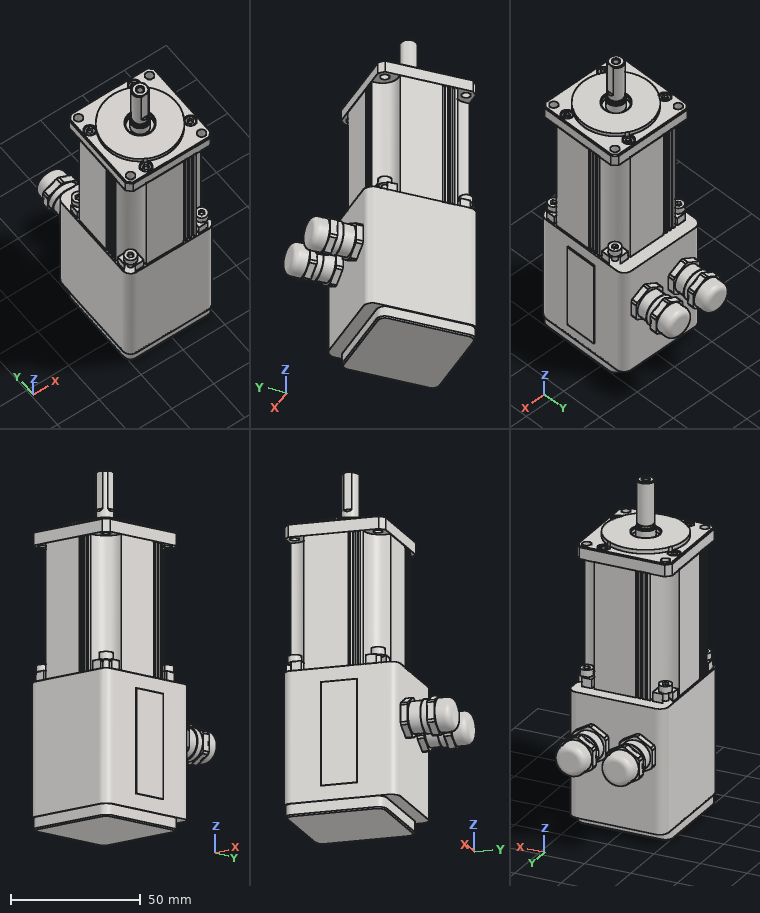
import cadquery as cq


cap_top = 5.0
housing_top = 58.2
pad_top = 62.0
flange_bottom = 112.0
flange_top = 117.3
pilot_top = 119.0
collar_top = 121.1
shaft_top = 141.2

housing_width = 42.0
housing_length = 47.0
housing_front = -housing_width / 2
housing_back = housing_front + housing_length
housing_mid = (housing_front + housing_back) / 2
housing_radius = 4.0

frame_width = 41.0
cap_radius = 3.5
cap_chamfer = 0.5

plate_thickness = 0.5
plate_width = 14.7
plate_bottom = 10.9
plate_height = 41.5

body_width = 40.7
notch_start = 12.0
notch_radius = 6.6
notch_size = body_width / 2 - notch_start
groove_first = 6.4
groove_pitch = 2.0
groove_count = 3
groove_width = 1.0
groove_depth = 0.7

screw_offset = 17.0
pad_inner = 13.1
pad_slot_width = 4.2
screw_radius = 1.3
screw_head_radius = 2.7
screw_head_height = 3.0
socket_width = 2.3
socket_depth = 1.4
socket_cone_height = 0.7

flange_corner = 2.1
flange_edge = 0.4
flange_hole_radius = 1.8
pilot_radius = 17.1
recess_radius = 5.6
recess_depth = 2.1
recess_chamfer = 0.4
flange_screw_shift = 9.6
counterbore_radius = 2.5
counterbore_depth = 2.8
flange_screw_radius = 2.1
flange_screw_sunk = 0.3

shaft_radius = 3.5
shaft_chamfer = 0.4
collar_radius = 4.0
collar_chamfer = 0.3
shaft_groove_radius = 3.2
shaft_groove_start = 121.7
shaft_groove_width = 1.0
flat_depth = 0.4
flat_end = 126.2
flat_runout = 1.0
center_hole_radius = 1.3
center_hole_depth = 7.0
center_cone_height = 0.7
center_mouth_radius = 1.7

gland_spacing = 20.0
gland_height = 38.1
gland_nut_flats = 14.3
gland_nut_radius = 7.9
gland_neck_radius = 6.4
gland_cap_radius = 6.8
gland_nut_length = 2.8
gland_neck_end = 7.9
gland_ring_end = 10.7
gland_cap_nut_length = 3.1
gland_length = 20.0
gland_round = 2.7


def block(width, length, bottom, top, center_y=0.0):
    """Upright box centred on X = 0."""
    return (cq.Workplane("XY", origin=(0, center_y, bottom))
            .rect(width, length).extrude(top - bottom))


def cylinder(radius, bottom, top, x=0.0, y=0.0):
    return cq.Workplane("XY", origin=(x, y, bottom)).circle(radius).extrude(top - bottom)


def hex_prism(flats, bottom, top, x=0.0, y=0.0):
    return (cq.Workplane("XY", origin=(x, y, bottom))
            .polygon(6, flats, circumscribed=True).extrude(top - bottom))


def cone(bottom_radius, top_radius, bottom, top, x=0.0, y=0.0):
    solid = cq.Solid.makeCone(bottom_radius, top_radius, top - bottom)
    return cq.Workplane(solid.translate(cq.Vector(x, y, bottom)))


def make_socket(top, x, y):
    """Hexagon socket with a conical bottom, opening at the given height."""
    floor = top - socket_depth
    tip = cone(0, socket_width / 2, floor - socket_cone_height, floor, x, y)
    return hex_prism(socket_width, floor, top, x, y).union(tip)


def around_axis(shape):
    """Four copies of a shape, a quarter turn apart about the shaft axis."""
    copies = shape
    for turn in range(1, 4):
        copies = copies.union(shape.rotate((0, 0, 0), (0, 0, 1), 90 * turn))
    return copies


def make_housing():
    cap = block(frame_width, frame_width, 0, cap_top).edges("|Z").fillet(cap_radius)
    cap = cap.faces("<Z").chamfer(cap_chamfer)
    box = block(housing_width, housing_length, cap_top, housing_top, housing_mid)
    box = box.edges("|Z").fillet(housing_radius)
    plate = (block(plate_thickness, plate_width, plate_bottom, plate_bottom + plate_height, housing_mid)
             .translate(((housing_width + plate_thickness) / 2, 0, 0)))
    return cap.union(box).union(plate)


def make_motor_body():
    body = block(body_width, body_width, housing_top, flange_bottom)
    height = flange_bottom - housing_top
    notch = (cq.Workplane("XY", origin=(notch_start, notch_start, housing_top))
             .rect(2 * notch_size, 2 * notch_size, centered=False).extrude(height)
             .edges("|Z and <X and <Y").fillet(notch_radius))
    grooves = (cq.Workplane("XY", origin=(0, -body_width / 2, housing_top))
               .pushPoints([(groove_first + i * groove_pitch, 0) for i in range(groove_count)])
               .rect(groove_width, 2 * groove_depth).extrude(height))
    return body.cut(around_axis(notch)).cut(around_axis(grooves))


def make_corner_mount():
    """Slotted pad and socket-head screw in the +X +Y corner."""
    pad_size = body_width / 2 - pad_inner
    pad = (cq.Workplane("XY", origin=(pad_inner, pad_inner, housing_top))
           .rect(pad_size, pad_size, centered=False).extrude(pad_top - housing_top))
    slot = block(2 * pad_size, pad_slot_width, housing_top, pad_top)
    slot = slot.translate((pad_size, 0, 0)).union(cylinder(pad_slot_width / 2, housing_top, pad_top))
    slot = slot.rotate((0, 0, 0), (0, 0, 1), 45).translate((screw_offset, screw_offset, 0))
    head_top = pad_top + screw_head_height
    shank = cylinder(screw_radius, housing_top, pad_top, screw_offset, screw_offset)
    head = cylinder(screw_head_radius, pad_top, head_top, screw_offset, screw_offset)
    socket = make_socket(head_top, screw_offset, screw_offset)
    return pad.cut(slot).union(shank).union(head.cut(socket))


def make_flange():
    flange = block(frame_width, frame_width, flange_bottom, flange_top).edges("|Z").chamfer(flange_corner)
    flange = flange.faces(">Z").chamfer(flange_edge)
    flange = flange.union(cylinder(pilot_radius, flange_top, pilot_top))
    flange = flange.cut(cylinder(recess_radius, pilot_top - recess_depth, pilot_top))
    rim_radius = recess_radius + recess_chamfer
    flange = flange.cut(cone(recess_radius, rim_radius, pilot_top - recess_chamfer, pilot_top))
    hole = cylinder(flange_hole_radius, flange_bottom, flange_top, screw_offset, screw_offset)
    flange = flange.cut(around_axis(hole))
    x, y = flange_screw_shift, screw_offset
    seat = flange_top - counterbore_depth
    head_top = flange_top - flange_screw_sunk
    counterbore = cylinder(counterbore_radius, seat, pilot_top, x, y)
    head = cylinder(flange_screw_radius, seat, head_top, x, y)
    socket = make_socket(head_top, x, y)
    return flange.cut(around_axis(counterbore)).union(around_axis(head.cut(socket)))


def make_shaft():
    base = pilot_top - recess_depth
    shaft = cylinder(shaft_radius, base, shaft_top).faces(">Z").chamfer(shaft_chamfer)
    ring_top = shaft_groove_start + shaft_groove_width
    ring = cylinder(shaft_radius, shaft_groove_start, ring_top)
    shaft = shaft.cut(ring.cut(cylinder(shaft_groove_radius, shaft_groove_start, ring_top)))
    shaft = shaft.union(cylinder(collar_radius, base, collar_top).faces(">Z").chamfer(collar_chamfer))
    flat_floor = shaft_radius - flat_depth
    flat = (cq.Workplane("YZ", origin=(-shaft_radius, 0, 0))
            .moveTo(-shaft_radius, flat_end - flat_runout)
            .lineTo(-flat_floor, flat_end)
            .lineTo(-flat_floor, shaft_top)
            .lineTo(-shaft_radius, shaft_top)
            .close().extrude(2 * shaft_radius))
    shaft = shaft.cut(flat).cut(flat.rotate((0, 0, 0), (0, 0, 1), 90))
    hole_floor = shaft_top - center_hole_depth
    mouth_bottom = shaft_top - (center_mouth_radius - center_hole_radius)
    shaft = shaft.cut(cylinder(center_hole_radius, hole_floor, shaft_top))
    shaft = shaft.cut(cone(0, center_hole_radius, hole_floor - center_cone_height, hole_floor))
    return shaft.cut(cone(center_hole_radius, center_mouth_radius, mouth_bottom, shaft_top))


def make_gland():
    """Cable gland standing on the origin, pointing along +Z."""
    def nut(bottom, length):
        prism = hex_prism(gland_nut_flats, bottom, bottom + length)
        return prism.intersect(cylinder(gland_nut_radius, bottom, bottom + length))

    gland = nut(0, gland_nut_length).union(cylinder(gland_neck_radius, 0, gland_neck_end))
    top = cylinder(gland_cap_radius, gland_neck_end, gland_length).faces(">Z").edges().fillet(gland_round)
    return gland.union(top).union(nut(gland_ring_end, gland_cap_nut_length))


def place_glands():
    gland = make_gland().rotate((0, 0, 0), (1, 0, 0), -90)
    left = gland.translate((-gland_spacing / 2, housing_back, gland_height))
    right = gland.translate((gland_spacing / 2, housing_back, gland_height))
    return left.union(right)


result = (make_housing()
          .union(make_motor_body())
          .union(around_axis(make_corner_mount()))
          .union(make_flange())
          .union(make_shaft())
          .union(place_glands()))